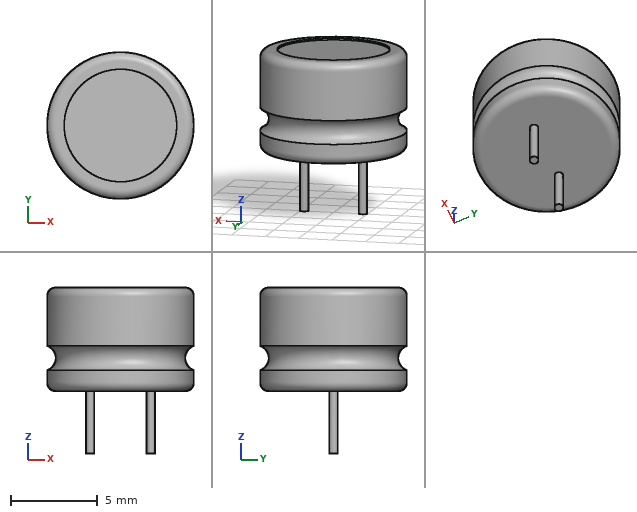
import cadquery as cq

total_height = 9.6
can_diameter = 8.5
can_radius = can_diameter / 2

lead_length = 3.6
lead_diameter = 0.5
lead_spacing = 3.5

can_height = total_height - lead_length
rim_radius = 0.5

groove_center_z = 1.92
groove_width = 1.4
groove_depth = 0.5

cover_radius = 3.25
cover_recess = 0.1
cover_thickness = 0.19


def make_can():
    """Revolved can with rounded rims, a crimp groove and a seat for the cover."""
    flat_radius = can_radius - rim_radius
    groove_bottom_z = groove_center_z - groove_width / 2
    groove_top_z = groove_center_z + groove_width / 2
    profile = (
        cq.Workplane("XZ")
        .lineTo(flat_radius, 0)
        .radiusArc((can_radius, rim_radius), -rim_radius)
        .lineTo(can_radius, groove_bottom_z)
        .threePointArc((can_radius - groove_depth, groove_center_z), (can_radius, groove_top_z))
        .lineTo(can_radius, can_height - rim_radius)
        .radiusArc((flat_radius, can_height), -rim_radius)
        .lineTo(0, can_height)
        .close()
    )
    seat_depth = cover_recess + cover_thickness
    seat = (
        cq.Workplane("XY")
        .workplane(offset=can_height - seat_depth)
        .circle(cover_radius)
        .extrude(seat_depth)
    )
    return profile.revolve(360, (0, 0, 0), (0, 1, 0)).cut(seat)


def make_cover():
    """Flat disc filling the lower part of the seat in the can."""
    return (
        cq.Workplane("XY")
        .workplane(offset=can_height - cover_recess)
        .circle(cover_radius)
        .extrude(-cover_thickness)
    )


def make_lead(x):
    """Round wire lead hanging from the underside of the can."""
    return cq.Workplane("XY").center(x, 0).circle(lead_diameter / 2).extrude(-lead_length)


can = make_can()
cover = make_cover()
leads = [make_lead(side * lead_spacing / 2) for side in (-1, 1)]

result = cq.Compound.makeCompound([can.val(), cover.val(), *[lead.val() for lead in leads]])